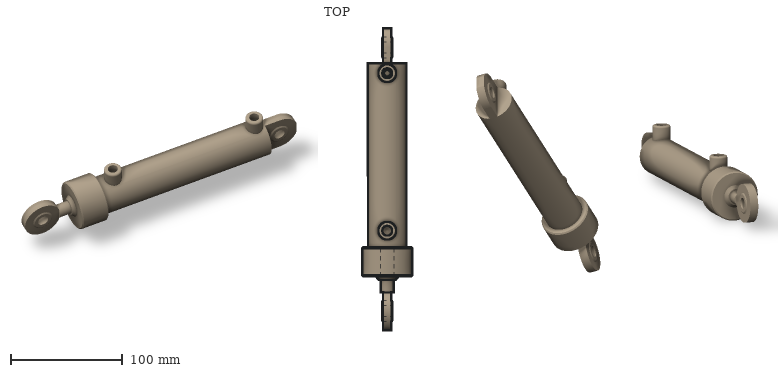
import cadquery as cq
import math


TOTAL_LENGTH = 271.0
TUBE_DIA = 35.0
ROD_DIA = 12.0
EYE_THICKNESS = 7.5

REAR_HOLE_SETBACK = 17.3
REAR_ARC_SETBACK = 16.5
TUBE_SETBACK = 31.5
REAR_PORT_SETBACK = 40.5
FRONT_PORT_SETBACK = 181.5
HEAD_SETBACK = 196.2

HEAD_DIA = 45.0
HEAD_LENGTH = 26.3
HEAD_CHAMFER = 1.0
COLLAR_BASE_DIA = 20.3
COLLAR_TIP_DIA = 15.0
COLLAR_LENGTH = 3.3

PORT_DIA = 16.0
PORT_TOP_Z = 29.5
PORT_FILLET = 1.5
PORT_BORE_DIA = 9.0
PORT_BORE_DEPTH = 13.5
DRILL_POINT_ANGLE = 118.0
REAR_PORT_FLOOR_DIA = 6.0

BUSHING_DIA = 19.0
BUSHING_BORE = 10.0
BUSHING_PROTRUSION = 0.8
BUSHING_FACE_DIA = 16.3

EYE_RADIUS = TUBE_DIA / 2
REAR_END_Y = REAR_HOLE_SETBACK
REAR_ARC_Y = REAR_END_Y - REAR_ARC_SETBACK
TUBE_REAR_Y = REAR_END_Y - TUBE_SETBACK
REAR_PORT_Y = REAR_END_Y - REAR_PORT_SETBACK
FRONT_PORT_Y = REAR_END_Y - FRONT_PORT_SETBACK
HEAD_REAR_Y = REAR_END_Y - HEAD_SETBACK
HEAD_FRONT_Y = HEAD_REAR_Y - HEAD_LENGTH
ROD_EYE_Y = REAR_END_Y - TOTAL_LENGTH + EYE_RADIUS
ROD_TIP_Y = ROD_EYE_Y + math.sqrt(EYE_RADIUS**2 - (ROD_DIA / 2) ** 2)


def y_cylinder(diameter, y_front, y_rear):
    """Cylinder on the Y axis between two stations."""
    return (
        cq.Workplane("XZ", origin=(0, y_rear, 0))
        .circle(diameter / 2)
        .extrude(y_rear - y_front)
    )


def x_cylinder(diameter, length, y):
    """Cylinder across the part, centred on X = 0 at station y."""
    return cq.Workplane("YZ", origin=(0, y, 0)).circle(diameter / 2).extrude(length / 2, both=True)


def make_rear_eye():
    """Plate with a rounded end that is cut off flat at the rear."""
    straight_length = REAR_ARC_Y - TUBE_REAR_Y
    straight = (
        cq.Workplane("XY")
        .box(EYE_THICKNESS, straight_length, TUBE_DIA)
        .translate((0, TUBE_REAR_Y + straight_length / 2, 0))
    )
    rounded = x_cylinder(TUBE_DIA, EYE_THICKNESS, REAR_ARC_Y)
    end_limit = (
        cq.Workplane("XY")
        .box(EYE_THICKNESS, TUBE_DIA, TUBE_DIA)
        .translate((0, REAR_END_Y - TUBE_DIA / 2, 0))
    )
    eye = straight.union(rounded.intersect(end_limit))
    return eye.cut(x_cylinder(BUSHING_DIA, EYE_THICKNESS, 0))


def make_port(y):
    """Port boss reaching from the tube axis up, rounded at its top edge."""
    return (
        cq.Workplane("XY", origin=(0, y, 0))
        .circle(PORT_DIA / 2)
        .extrude(PORT_TOP_Z)
        .faces(">Z")
        .edges()
        .fillet(PORT_FILLET)
    )


def make_port_bore(y, floor_dia):
    """Blind bore with a drill cone that narrows to a floor of the given diameter."""
    bore_radius = PORT_BORE_DIA / 2
    floor_radius = floor_dia / 2
    shoulder_z = PORT_TOP_Z - PORT_BORE_DEPTH
    cone_depth = (bore_radius - floor_radius) / math.tan(math.radians(DRILL_POINT_ANGLE / 2))
    profile = cq.Workplane("XZ", origin=(0, y, 0)).moveTo(0, PORT_TOP_Z)
    profile = profile.lineTo(bore_radius, PORT_TOP_Z).lineTo(bore_radius, shoulder_z)
    profile = profile.lineTo(floor_radius, shoulder_z - cone_depth)
    if floor_radius > 0:
        profile = profile.lineTo(0, shoulder_z - cone_depth)
    return profile.close().revolve(360, (0, 0, 0), (0, 1, 0))


def make_barrel():
    """Barrel with its rear eye and both ports."""
    barrel = y_cylinder(TUBE_DIA, HEAD_REAR_Y, TUBE_REAR_Y).union(make_rear_eye())
    for y, floor_dia in ((REAR_PORT_Y, REAR_PORT_FLOOR_DIA), (FRONT_PORT_Y, 0)):
        barrel = barrel.union(make_port(y)).cut(make_port_bore(y, floor_dia))
    return barrel


def make_head():
    """Chamfered head with a tapered wiper collar and the rod hole."""
    head = y_cylinder(HEAD_DIA, HEAD_FRONT_Y, HEAD_REAR_Y).edges().chamfer(HEAD_CHAMFER)
    collar = (
        cq.Workplane("XZ", origin=(0, HEAD_FRONT_Y, 0))
        .circle(COLLAR_BASE_DIA / 2)
        .workplane(offset=COLLAR_LENGTH)
        .circle(COLLAR_TIP_DIA / 2)
        .loft()
    )
    rod_hole = y_cylinder(ROD_DIA, HEAD_FRONT_Y - COLLAR_LENGTH, HEAD_REAR_Y)
    return head.union(collar).cut(rod_hole)


def make_rod():
    """Rod that starts at the barrel end and carries the round rod eye."""
    rod = y_cylinder(ROD_DIA, ROD_TIP_Y, HEAD_REAR_Y)
    eye = x_cylinder(TUBE_DIA, EYE_THICKNESS, ROD_EYE_Y)
    return rod.union(eye).cut(x_cylinder(BUSHING_DIA, EYE_THICKNESS, ROD_EYE_Y))


def make_bushing(y):
    """Bushing that stands proud of both eye faces with bevelled rims."""
    half_plate = EYE_THICKNESS / 2
    half_length = half_plate + BUSHING_PROTRUSION
    bore_radius = BUSHING_BORE / 2
    rim_radius = BUSHING_DIA / 2
    face_radius = BUSHING_FACE_DIA / 2
    return (
        cq.Workplane("XY")
        .moveTo(-half_length, bore_radius)
        .lineTo(-half_length, face_radius)
        .lineTo(-half_plate, rim_radius)
        .lineTo(half_plate, rim_radius)
        .lineTo(half_length, face_radius)
        .lineTo(half_length, bore_radius)
        .close()
        .revolve(360, (0, 0, 0), (1, 0, 0))
        .translate((0, y, 0))
    )


barrel = make_barrel()
head = make_head()
rod = make_rod()
bushings = [make_bushing(y) for y in (0, ROD_EYE_Y)]

result = cq.Compound.makeCompound(
    [barrel.val(), head.val(), rod.val(), *[bushing.val() for bushing in bushings]]
)